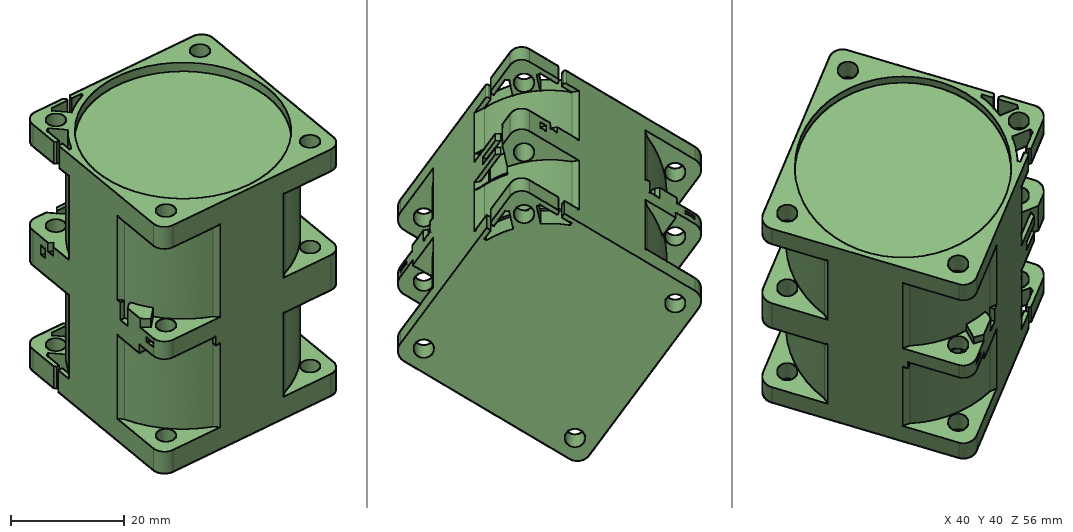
import cadquery as cq
import math


SIDE = 40.0
HEIGHT = 56.0
HALF = SIDE / 2

END_FLANGE = 5.0
MID_BOTTOM = 24.0
MID_TOP = 32.0
MID_CENTRE = (MID_BOTTOM + MID_TOP) / 2
CORNER_RADIUS = 2.5
SCREW_OFFSET = 16.0
SCREW_DIAMETER = 3.6

RECESS_DIAMETER = 38.2
RECESS_DEPTH = 2.0

FLAT_END = 7.0
WIRE_FLAT_END = 6.2
ARC_START = 8.0
ARC_EDGE = HALF - 0.9
BODY_RADIUS = math.hypot(ARC_EDGE, ARC_START)

DUCT_WALL = 0.9
DUCT_RADIUS = 20.3
DUCT_TIP_Y = -12.5
DUCT_LENGTH_45 = 2.5
DUCT_BLUNT = 0.4
ENTRY_NEAR = -10.1
ENTRY_FAR = -11.0
ENTRY_FLARE = 0.4

CHANNEL_RADIUS = 19.6
CHANNEL_RAMP = 3.0
CHANNEL_INNER_STEP = 1.8
CHANNEL_FAR_Y = -15.1
CHANNEL_DEPTH = 6.0
PRONG_THICKNESS = 0.8
PRONG_END_Y = -12.8
PRONG_SLANT = 0.6
PRONG_GAP = 2.6
PRONG_GAP_LENGTH = 3.9

DECK_TOP = 30.0
DECK_BOTTOM = 26.0
STEP_X = 13.5
SLOT_FLOOR = 28.0
SLOT_FAR_X = 10.1
BLOCK_BEND = (9.45, -19.35)
BLOCK_INNER = (9.05, -18.5)
BLOCK_TIP = (12.6, -16.2)
BLOCK_OUTER = (14.9, -18.5)
BLOCK_FRONT_X = 13.7
POCKET_START_X = 15.5
POCKET_END_X = 17.5
POCKET_HEIGHT = 0.9

NOTCHES = [(-15.2, 1.3, 28.0), (-13.1, 1.5, 30.0)]
NOTCH_HEIGHT = 2.0
NOTCH_DEPTH = 0.8


def prism(points, bottom, top):
    """Closed polygon extruded between two levels."""
    return cq.Workplane("XY").workplane(offset=bottom).polyline(points).close().extrude(top - bottom)


def block(x_min, x_max, y_min, y_max, bottom, top):
    """Axis-aligned box given by its limits."""
    return prism([(x_min, y_min), (x_max, y_min), (x_max, y_max), (x_min, y_max)], bottom, top)


def swap_xy(shape):
    """Mirror image across the vertical plane X = Y."""
    return shape.mirror("YZ").rotate((0, 0, 0), (0, 0, 1), -90)


def on_arc(radius, angle):
    """Point on a circle about the body axis, angle in degrees."""
    return radius * math.cos(math.radians(angle)), radius * math.sin(math.radians(angle))


def angle_of(point):
    """Direction of a point from the body axis, in degrees."""
    return math.degrees(math.atan2(point[1], point[0])) % 360


def body():
    """Square column with its four corners relieved; one strip is longer for the wires."""
    outline = cq.Workplane("XY").moveTo(HALF, -FLAT_END).lineTo(HALF, FLAT_END)
    outline = outline.lineTo(ARC_EDGE, ARC_START)
    outline = outline.threePointArc(on_arc(BODY_RADIUS, 45), (ARC_START, ARC_EDGE))
    outline = outline.lineTo(FLAT_END, HALF).lineTo(-FLAT_END, HALF).lineTo(-ARC_START, ARC_EDGE)
    outline = outline.threePointArc(on_arc(BODY_RADIUS, 135), (-ARC_EDGE, ARC_START))
    outline = outline.lineTo(-HALF, FLAT_END).lineTo(-HALF, -WIRE_FLAT_END).lineTo(-ARC_EDGE, -ARC_START)
    outline = outline.threePointArc(on_arc(BODY_RADIUS, 225), (-ARC_START, -ARC_EDGE))
    outline = outline.lineTo(-FLAT_END, -HALF).lineTo(FLAT_END, -HALF).lineTo(ARC_START, -ARC_EDGE)
    outline = outline.threePointArc(on_arc(BODY_RADIUS, 315), (ARC_EDGE, -ARC_START))
    return outline.close().extrude(HEIGHT)


def flange(bottom, top):
    """Square plate with rounded corners."""
    plate = cq.Workplane("XY").workplane(offset=bottom).rect(SIDE, SIDE).extrude(top - bottom)
    return plate.edges("|Z").fillet(CORNER_RADIUS)


def duct_entry(bottom, top, near_edge_rounded):
    """Slot from the -X side into the duct, chamfered on the edge next to the corner."""
    inner_x = -HALF + DUCT_WALL
    flare_x = -HALF + ENTRY_FLARE
    slot = cq.Workplane("XY").workplane(offset=bottom).moveTo(inner_x, ENTRY_NEAR)
    slot = slot.lineTo(inner_x, ENTRY_FAR).lineTo(flare_x, ENTRY_FAR).lineTo(-HALF, ENTRY_FAR - ENTRY_FLARE)
    if near_edge_rounded:
        arc_rise = ENTRY_FLARE * (1 - math.sqrt(0.5))
        slot = slot.lineTo(-HALF, ENTRY_NEAR + ENTRY_FLARE)
        slot = slot.threePointArc((-HALF + arc_rise, ENTRY_NEAR + arc_rise), (flare_x, ENTRY_NEAR))
    else:
        slot = slot.lineTo(-HALF, ENTRY_NEAR)
    return slot.close().extrude(top - bottom)


def wire_duct(bottom, top, near_edge_rounded):
    """Duct following the body arc, with its entry slot, on the -X side."""
    wall_x = -HALF + DUCT_WALL
    start = (-math.sqrt(DUCT_RADIUS**2 - ARC_START**2), -ARC_START)
    tip = (-math.sqrt(DUCT_RADIUS**2 - DUCT_TIP_Y**2), DUCT_TIP_Y)
    middle = on_arc(DUCT_RADIUS, (angle_of(start) + angle_of(tip)) / 2)
    corner = (tip[0] - DUCT_LENGTH_45, tip[1] - DUCT_LENGTH_45)
    duct = cq.Workplane("XY").workplane(offset=bottom).moveTo(*start).threePointArc(middle, tip)
    duct = duct.lineTo(*corner).lineTo(wall_x, corner[1] + DUCT_BLUNT).lineTo(wall_x, -ARC_START)
    return duct.close().extrude(top - bottom).union(duct_entry(bottom, top, near_edge_rounded))


def stepped_corner_cuts():
    """Material removed from the +X -Y corner of the middle flange."""
    raised = [
        (SLOT_FAR_X, -HALF), BLOCK_BEND, BLOCK_INNER, BLOCK_TIP, BLOCK_OUTER, (BLOCK_FRONT_X, -HALF),
    ]
    above = block(ARC_START, HALF, -HALF, -FLAT_END, DECK_TOP, MID_TOP)
    above = above.cut(prism(raised, DECK_TOP, MID_TOP))
    slot = prism(
        [(ARC_START, -HALF), (SLOT_FAR_X, -HALF), BLOCK_BEND, BLOCK_INNER, (ARC_START, BLOCK_INNER[1])],
        SLOT_FLOOR, MID_TOP,
    )
    below = block(STEP_X, HALF, -HALF, -ARC_START, MID_BOTTOM, DECK_BOTTOM)
    pocket_depth = POCKET_END_X - POCKET_START_X
    pocket = prism(
        [(POCKET_START_X, -HALF), (POCKET_END_X, -HALF), (POCKET_END_X, -HALF + pocket_depth)],
        SLOT_FLOOR, SLOT_FLOOR + POCKET_HEIGHT,
    )
    return above.union(slot).union(below).union(pocket)


def notch(left, width, bottom):
    """V-shaped notch in the front edge of the middle flange."""
    apex = (left + width - NOTCH_DEPTH, -HALF + NOTCH_DEPTH)
    return prism([(left, -HALF), (left + width, -HALF), apex], bottom, bottom + NOTCH_HEIGHT)


def channel_core():
    """Round core left inside the wire channel, flaring to the body radius at both ends."""
    low = MID_BOTTOM - CHANNEL_RAMP
    high = MID_TOP + CHANNEL_RAMP
    profile = [
        (0, low), (BODY_RADIUS, low), (CHANNEL_RADIUS, MID_BOTTOM),
        (CHANNEL_RADIUS, MID_TOP), (BODY_RADIUS, high), (0, high),
    ]
    return cq.Workplane("XZ").polyline(profile).close().revolve(360, (0, 0, 0), (0, 1, 0))


def wire_channel():
    """Channel between 45 degree walls on the -X side, less the core and the prongs."""
    low = MID_BOTTOM - CHANNEL_RAMP
    high = MID_TOP + CHANNEL_RAMP
    inner = (-HALF + CHANNEL_INNER_STEP, -WIRE_FLAT_END - CHANNEL_INNER_STEP)
    deep = (-HALF + CHANNEL_DEPTH, CHANNEL_FAR_Y + CHANNEL_DEPTH)
    outline = [(-HALF, -WIRE_FLAT_END), inner, (deep[0], inner[1]), deep, (-HALF, CHANNEL_FAR_Y)]
    channel = prism(outline, low, high).cut(channel_core())

    inside_x = -HALF + PRONG_THICKNESS
    prong = [
        (-HALF, -WIRE_FLAT_END), (-HALF, PRONG_END_Y), (inside_x, PRONG_END_Y - PRONG_SLANT),
        (inside_x, -WIRE_FLAT_END),
    ]
    prongs = prism(prong, MID_BOTTOM, MID_TOP)
    gap_near_y = PRONG_END_Y + PRONG_GAP_LENGTH
    gap = block(
        -HALF, inside_x, CHANNEL_FAR_Y, gap_near_y,
        MID_CENTRE - PRONG_GAP / 2, MID_CENTRE + PRONG_GAP / 2,
    )
    return channel.cut(prongs.cut(gap))


def middle_flange():
    """Middle flange with two stepped corners and the notches."""
    plate = flange(MID_BOTTOM, MID_TOP)
    corner = stepped_corner_cuts()
    plate = plate.cut(corner).cut(swap_xy(corner))
    for left, width, bottom in NOTCHES:
        plate = plate.cut(notch(left, width, bottom))
    return plate


def end_ducts(bottom, near_edge_rounded):
    """Wire ducts through one end flange, on both sides of the -X -Y screw hole."""
    duct = wire_duct(bottom, bottom + END_FLANGE, near_edge_rounded)
    return duct.union(swap_xy(duct))


def screw_holes():
    """Four holes through all flanges."""
    pattern = cq.Workplane("XY").rect(2 * SCREW_OFFSET, 2 * SCREW_OFFSET, forConstruction=True)
    return pattern.vertices().circle(SCREW_DIAMETER / 2).extrude(HEIGHT)


def inlet_recess():
    """Shallow round recess in the top face."""
    floor = cq.Workplane("XY").workplane(offset=HEIGHT - RECESS_DEPTH)
    return floor.circle(RECESS_DIAMETER / 2).extrude(RECESS_DEPTH)


top_flange_bottom = HEIGHT - END_FLANGE
result = body().union(middle_flange())
result = result.union(flange(0, END_FLANGE)).union(flange(top_flange_bottom, HEIGHT))
result = result.cut(end_ducts(0, False)).cut(end_ducts(top_flange_bottom, True))
result = result.cut(wire_channel()).cut(screw_holes()).cut(inlet_recess())